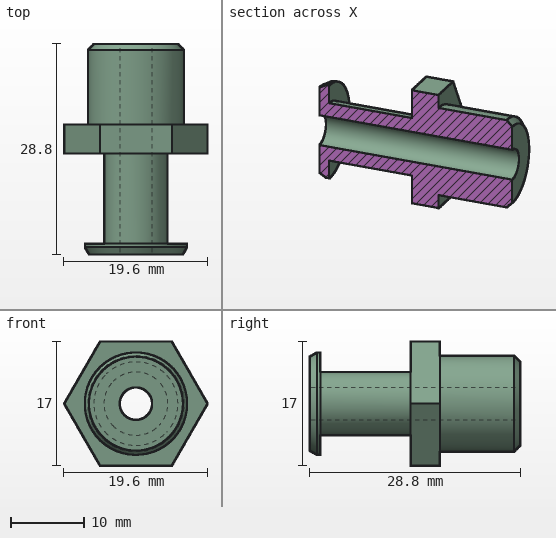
import cadquery as cq
import math

hex_sides = 6
hex_across_flats = 17.0
hex_length = 4.0
spigot_diameter = 13.157
spigot_length = 11.0
spigot_chamfer = 0.85
stem_diameter = 8.7
stem_length = 12.3
flange_diameter = 14.0
flange_length = 1.5
flange_chamfer_length = 1.0
flange_chamfer_angle = 30.0
bore_diameter = 4.4

stem_start = flange_length
hex_start = stem_start + stem_length
spigot_start = hex_start + hex_length
total_length = spigot_start + spigot_length


def cylinder(diameter, start, length):
    """Cylinder on the Y axis, growing toward +Y from the start station."""
    return cq.Workplane("XZ", origin=(0, start, 0)).circle(diameter / 2).extrude(-length)


def make_flange():
    chamfer_depth = flange_chamfer_length * math.tan(math.radians(flange_chamfer_angle))
    flange_radius = flange_diameter / 2
    profile = (
        cq.Workplane("XY")
        .moveTo(0, 0)
        .lineTo(flange_radius - chamfer_depth, 0)
        .lineTo(flange_radius, flange_chamfer_length)
        .lineTo(flange_radius, flange_length)
        .lineTo(0, flange_length)
        .close()
    )
    return profile.revolve(360, (0, 0, 0), (0, 1, 0))


def make_hexagon():
    across_corners = hex_across_flats / math.cos(math.pi / hex_sides)
    return (
        cq.Workplane("XZ", origin=(0, hex_start, 0))
        .polygon(hex_sides, across_corners)
        .extrude(-hex_length)
    )


def make_spigot():
    spigot = cylinder(spigot_diameter, spigot_start, spigot_length)
    return spigot.faces(">Y").chamfer(spigot_chamfer)


stem = cylinder(stem_diameter, stem_start, stem_length)
bore = cylinder(bore_diameter, 0, total_length)

result = make_flange().union(stem).union(make_hexagon()).union(make_spigot()).cut(bore)